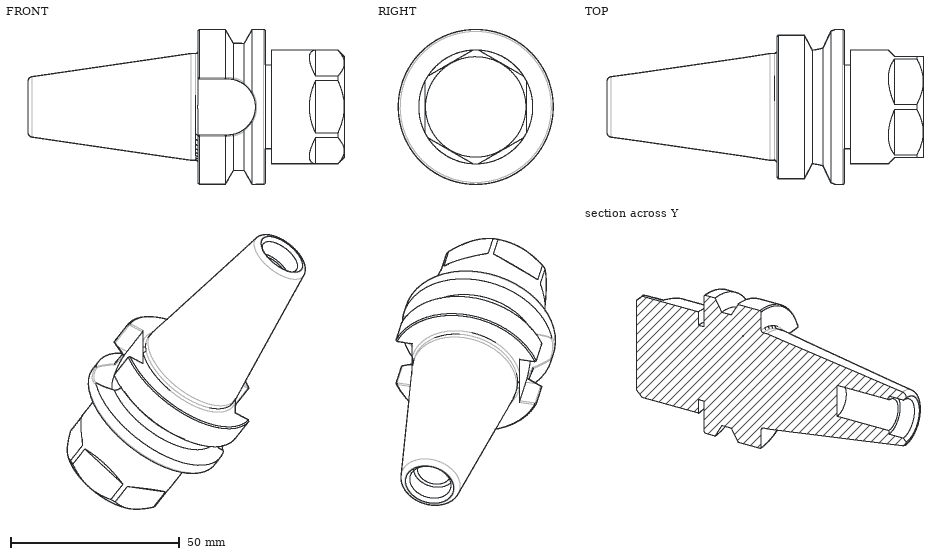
import cadquery as cq
import math


GAUGE_DIAMETER = 31.75
TAPER_RATIO = 7 / 24
TAPER_LENGTH = 48.4
TAPER_END_FILLET = 1.5

MOUTH_DIAMETER = 14.6
COUNTERBORE_DIAMETER = 12.5
COUNTERBORE_DEPTH = 6.0
THREAD_BORE_DIAMETER = 10.11
THREAD_BORE_DEPTH = 24.0
MOUTH_CHAMFER_ANGLE = 45.0

FLANGE_DIAMETER = 46.0
FLANGE_START = 2.0
FLANGE_END = 22.0
FLANGE_FILLET = 0.7
FRONT_RIM_CHAMFER = 0.4
REAR_RIM_FILLET = 0.6
GROOVE_DIAMETER = 37.8
GROOVE_FLOOR_START = 12.5
GROOVE_FLOOR_END = 15.7
GROOVE_WALL_ANGLE = 30.0

SLOT_WIDTH = 16.6
SLOT_END = 19.05
SLOT_FLOOR_OFFSET = 16.3
SLOT_EDGE_FILLET = 0.35

NECK_DIAMETER = 24.89
NUT_DIAMETER = 33.78
NUT_START = 23.8
NUT_END = 45.49
NUT_CHAMFER = 2.0
HEX_ACROSS_FLATS = 30.0
HEX_START = 36.9
HEX_SIDES = 6

TOLERANCE = 0.01


def revolve_about_x(outline):
    """Outlines lie in the XZ plane, which keeps the seams clear of the drive slots."""
    return outline.close().revolve(360, (0, 0, 0), (1, 0, 0))


def make_disc(diameter, start, end):
    return cq.Workplane("YZ", origin=(start, 0, 0)).circle(diameter / 2).extrude(end - start)


def make_shank():
    small_radius = (GAUGE_DIAMETER - TAPER_LENGTH * TAPER_RATIO) / 2
    gauge_radius = GAUGE_DIAMETER / 2
    outline = (
        cq.Workplane("XZ")
        .moveTo(-TAPER_LENGTH, 0)
        .lineTo(-TAPER_LENGTH, small_radius)
        .lineTo(0, gauge_radius)
        .lineTo(FLANGE_START - FLANGE_FILLET, gauge_radius)
        .radiusArc((FLANGE_START, gauge_radius + FLANGE_FILLET), -FLANGE_FILLET)
        .lineTo(FLANGE_START, 0)
    )
    shank = revolve_about_x(outline)
    return shank.faces("<X").edges().fillet(TAPER_END_FILLET)


def make_flange():
    rim_radius = FLANGE_DIAMETER / 2
    groove_radius = GROOVE_DIAMETER / 2
    wall_run = (rim_radius - groove_radius) * math.tan(math.radians(GROOVE_WALL_ANGLE))
    outline = (
        cq.Workplane("XZ")
        .moveTo(FLANGE_START, 0)
        .lineTo(FLANGE_START, rim_radius - FRONT_RIM_CHAMFER)
        .lineTo(FLANGE_START + FRONT_RIM_CHAMFER, rim_radius)
        .lineTo(GROOVE_FLOOR_START - wall_run, rim_radius)
        .lineTo(GROOVE_FLOOR_START, groove_radius)
        .lineTo(GROOVE_FLOOR_END, groove_radius)
        .lineTo(GROOVE_FLOOR_END + wall_run, rim_radius)
        .lineTo(FLANGE_END - REAR_RIM_FILLET, rim_radius)
        .radiusArc((FLANGE_END, rim_radius - REAR_RIM_FILLET), REAR_RIM_FILLET)
        .lineTo(FLANGE_END, 0)
    )
    return revolve_about_x(outline)


def make_slot_cutter(side):
    """Round-ended slot open towards -X, on the +Y (side = 1) or -Y (side = -1) flank."""
    half_width = SLOT_WIDTH / 2
    arc_center = SLOT_END - half_width
    return (
        cq.Workplane("XZ", origin=(0, side * SLOT_FLOOR_OFFSET, 0))
        .moveTo(0, -half_width)
        .lineTo(arc_center, -half_width)
        .threePointArc((SLOT_END, 0), (arc_center, half_width))
        .lineTo(0, half_width)
        .close()
        .extrude(-side * FLANGE_DIAMETER / 2)
    )


def find_slot_rim(part, side):
    """Convex edges around a slot's walls, without the floor and the seams where wall meets round end."""
    half_width = SLOT_WIDTH / 2
    arc_center = SLOT_END - half_width
    rim = []
    for edge in part.edges().vals():
        center = edge.Center()
        above_floor = side * center.y > SLOT_FLOOR_OFFSET + TOLERANCE
        within_slot = abs(center.z) < half_width + TOLERANCE and center.x < SLOT_END + TOLERANCE
        is_seam = edge.geomType() == "LINE" and abs(center.x - arc_center) < TOLERANCE
        if above_floor and within_slot and not is_seam:
            rim.append(edge)
    return part.newObject(rim)


def cut_slot(part, side):
    slotted = part.cut(make_slot_cutter(side))
    return find_slot_rim(slotted, side).fillet(SLOT_EDGE_FILLET)


def make_neck():
    return make_disc(NECK_DIAMETER, FLANGE_END, NUT_START)


def make_flat_cutter(angle):
    """Removes one wrench flat, with a 45 degree run-out into the nut's cylinder."""
    flat_height = HEX_ACROSS_FLATS / 2
    cut_height = NUT_DIAMETER / 2
    return (
        cq.Workplane("XY")
        .moveTo(NUT_END, flat_height)
        .lineTo(HEX_START, flat_height)
        .lineTo(HEX_START - cut_height, flat_height + cut_height)
        .lineTo(NUT_END, flat_height + cut_height)
        .close()
        .extrude(NUT_DIAMETER / 2, both=True)
        .rotate((0, 0, 0), (1, 0, 0), angle)
    )


def make_nut():
    nut = make_disc(NUT_DIAMETER, NUT_START, NUT_END).faces(">X").chamfer(NUT_CHAMFER)
    for side in range(HEX_SIDES):
        nut = nut.cut(make_flat_cutter(side * 360 / HEX_SIDES))
    return nut


def make_bore_cutter():
    mouth_radius = MOUTH_DIAMETER / 2
    counterbore_radius = COUNTERBORE_DIAMETER / 2
    thread_radius = THREAD_BORE_DIAMETER / 2
    chamfer_depth = (mouth_radius - counterbore_radius) / math.tan(math.radians(MOUTH_CHAMFER_ANGLE))
    outline = (
        cq.Workplane("XZ")
        .moveTo(-TAPER_LENGTH, 0)
        .lineTo(-TAPER_LENGTH, mouth_radius)
        .lineTo(-TAPER_LENGTH + chamfer_depth, counterbore_radius)
        .lineTo(-TAPER_LENGTH + COUNTERBORE_DEPTH, counterbore_radius)
        .lineTo(-TAPER_LENGTH + COUNTERBORE_DEPTH, thread_radius)
        .lineTo(-TAPER_LENGTH + THREAD_BORE_DEPTH, thread_radius)
        .lineTo(-TAPER_LENGTH + THREAD_BORE_DEPTH, 0)
    )
    return revolve_about_x(outline)


body = make_shank().union(make_flange())
for slot_side in (1, -1):
    body = cut_slot(body, slot_side)

result = body.union(make_neck()).union(make_nut()).cut(make_bore_cutter())